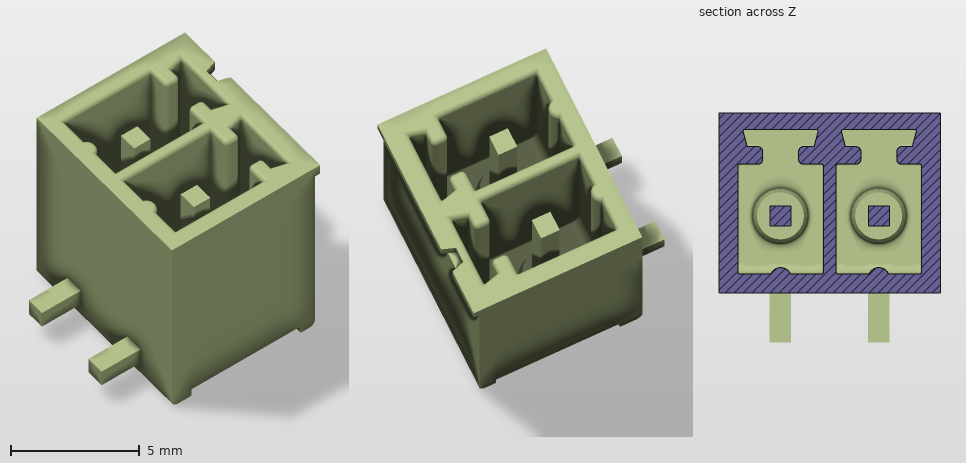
import cadquery as cq
import math


width = 8.62
depth = 7.25
height = 9.2
lip_overhang = 0.25
lip_height = 0.5
bottom_radius = 0.3

pitch = 3.81
contact_xs = (-pitch / 2, pitch / 2)
contact_y = 3.0

floor_z = 2.0
front_wall = 0.76
back_wall_y = 6.35
tab_front_y = 5.005
tab_back_y = 5.7
chamber_half_width = 1.65
neck_half_width = 0.69
keyway_half_width = 1.46
keyway_taper_angle = 15.0
rim_radius = 0.2
mouth_margin = 0.09
floor_fillet = 0.4
crease_radius = 0.055

rib_radius = 0.41
rib_axis_y = 0.6

collar_base_radius = 1.095
collar_top_radius = 0.91
collar_height = 0.75

pin_width = 0.84
pin_thickness = 0.8
pin_top_z = 8.15
pin_bottom_z = 0.8
pin_overhang = 1.9

notch_mouth_half_width = 0.51
notch_root_half_width = 0.32
notch_depth = 0.55

recess_height = 0.38
recess_front_y = 0.97
recess_step_y = 4.49
recess_back_y = 6.29
deep_recess = 1.84
shallow_recess = 0.92


def box(x_min, x_max, y_min, y_max, z_min, z_max):
    size = (x_max - x_min, y_max - y_min, z_max - z_min)
    return cq.Workplane("XY").box(*size, centered=False).translate((x_min, y_min, z_min))


def make_housing():
    """Block with rounded lower front and back edges and a lip along the top back edge."""
    body_back_y = depth - lip_overhang
    body = box(-width / 2, width / 2, 0, body_back_y, 0, height)
    body = body.edges("|X and <Z").fillet(bottom_radius)
    lip = box(-width / 2, width / 2, body_back_y, depth, height - lip_height, height)
    return body.union(lip)


def make_cavity(x):
    """Space inside one cavity: a chamber joined by a neck to a dovetail keyway."""
    cavity_depth = height - floor_z
    keyway_taper = (back_wall_y - tab_back_y) * math.tan(math.radians(keyway_taper_angle))
    right_side = [
        (chamber_half_width, front_wall),
        (chamber_half_width, tab_front_y),
        (neck_half_width, tab_front_y),
        (neck_half_width, tab_back_y),
        (keyway_half_width - keyway_taper, tab_back_y),
        (keyway_half_width, back_wall_y),
    ]
    left_side = [(-px, py) for px, py in reversed(right_side)]
    cavity = cq.Workplane("XY").polyline(right_side + left_side).close().extrude(cavity_depth)
    cavity = cavity.faces("<Y").edges("<Z").fillet(floor_fillet)
    for side in (-1, 1):
        for tab_y in (tab_front_y, tab_back_y):
            corner = (side * neck_half_width, tab_y, cavity_depth / 2)
            cavity = cavity.edges(cq.selectors.NearestToPointSelector(corner)).fillet(rim_radius)
    rib = cq.Workplane("XY").center(0, rib_axis_y).circle(rib_radius).extrude(cavity_depth)
    return cavity.cut(rib).translate((x, 0, floor_z))


def make_collar(x):
    """Tapered collar standing on the cavity floor."""
    cone = cq.Solid.makeCone(collar_base_radius, collar_top_radius, collar_height)
    return cq.Workplane(cone).translate((x, contact_y, floor_z))


def make_pin(x):
    """Upright contact and the solder leg that leaves through the front face."""
    x_min = x - pin_width / 2
    x_max = x + pin_width / 2
    back_y = contact_y + pin_thickness / 2
    upright = box(x_min, x_max, back_y - pin_thickness, back_y, pin_bottom_z, pin_top_z)
    leg = box(x_min, x_max, -pin_overhang, back_y, pin_bottom_z, pin_bottom_z + pin_thickness)
    return upright.union(leg)


def make_notch(x):
    """Tapered notch through the lip and into the top of the housing."""
    root_y = depth - notch_depth
    return (
        cq.Workplane("XY")
        .workplane(offset=height - lip_height)
        .moveTo(x - notch_mouth_half_width, depth)
        .lineTo(x - notch_root_half_width, root_y)
        .lineTo(x + notch_root_half_width, root_y)
        .lineTo(x + notch_mouth_half_width, depth)
        .close()
        .extrude(lip_height)
    )


def make_side_recess():
    """Stepped recess along the lower edge of the -X side."""
    side_x = -width / 2
    front = box(side_x, side_x + deep_recess, recess_front_y, recess_step_y, 0, recess_height)
    back = box(side_x, side_x + shallow_recess, recess_step_y, recess_back_y, 0, recess_height)
    return front.union(back)


result = make_housing()
for contact_x in contact_xs:
    result = result.cut(make_cavity(contact_x))

mouth_edges = cq.selectors.BoxSelector(
    (-width / 2 + mouth_margin, mouth_margin, height - mouth_margin),
    (width / 2 - mouth_margin, depth - mouth_margin, height + mouth_margin),
)
result = result.faces(">Z").edges(mouth_edges).fillet(rim_radius)

crease_mid_z = (height + floor_z) / 2
for contact_x in contact_xs:
    for side in (-1, 1):
        chamber_side_x = contact_x + side * chamber_half_width
        keyway_corner_x = contact_x + side * keyway_half_width
        crease_points = [
            (chamber_side_x, (front_wall + tab_front_y) / 2, floor_z),
            (chamber_side_x, tab_front_y, crease_mid_z),
            (keyway_corner_x, back_wall_y, crease_mid_z),
        ]
        for point in crease_points:
            crease = cq.selectors.NearestToPointSelector(point)
            result = result.edges(crease).fillet(crease_radius)

for contact_x in contact_xs:
    result = result.union(make_collar(contact_x)).union(make_pin(contact_x))

side_recess = make_side_recess()
result = result.cut(make_notch(contact_xs[0]))
result = result.cut(side_recess).cut(side_recess.mirror("YZ"))